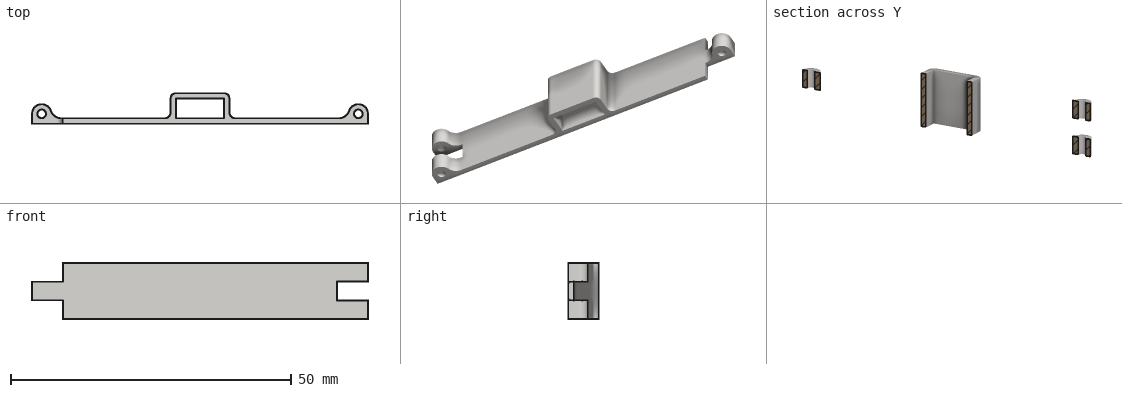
import cadquery as cq
import math

length = 60.0
height = 10.0
thickness = 1.0

knuckle_radius = 1.75
knuckle_center_y = 1.8
blend_radius = 2.0
pin_diameter = 1.5
hinge_depth = 5.5
tongue_height = height / 3

loop_depth = 5.5
opening_width = 8.5
loop_width = opening_width + 2 * thickness
loop_radius = 1.0


def knuckle(end_x, inward):
    """Full-height knuckle at end_x, blended into the plate; inward is the X sign toward mid-plate."""
    center_x = knuckle_radius
    blend_y = thickness + blend_radius
    rise = blend_y - knuckle_center_y
    reach = math.sqrt((knuckle_radius + blend_radius) ** 2 - rise**2)
    blend_x = center_x + reach
    touch_angle = math.atan2(rise, reach)
    top_angle = (math.pi + touch_angle) / 2
    blend_angle = (math.pi + touch_angle + 1.5 * math.pi) / 2

    def place(x, y):
        return (end_x + inward * x, y)

    def on_circle(x, y, radius, angle):
        return place(x + radius * math.cos(angle), y + radius * math.sin(angle))

    return (
        cq.Workplane("XY")
        .moveTo(*place(0, 0))
        .lineTo(*place(0, knuckle_center_y))
        .threePointArc(
            on_circle(center_x, knuckle_center_y, knuckle_radius, top_angle),
            on_circle(center_x, knuckle_center_y, knuckle_radius, touch_angle),
        )
        .threePointArc(
            on_circle(blend_x, blend_y, blend_radius, blend_angle),
            place(blend_x, thickness),
        )
        .lineTo(*place(blend_x, 0))
        .close()
        .extrude(height)
    )


def hinge_block(start_x, bottom_z, block_height):
    """Block through the full depth of a hinge, used to trim it."""
    return cq.Workplane("XY").box(hinge_depth, loop_depth, block_height, centered=False).translate(
        (start_x, 0, bottom_z)
    )


def plate_with_loop():
    """Plate and loop with rounded outer corners and filleted roots."""
    plate = cq.Workplane("XY").box(length, thickness, height, centered=False)
    loop = cq.Workplane("XY").box(loop_width, loop_depth, height, centered=False).translate(
        ((length - loop_width) / 2, 0, 0)
    )
    body = plate.union(loop)
    loop_corners = cq.selectors.BoxSelector(
        (length / 2 - loop_width, thickness / 2, 0),
        (length / 2 + loop_width, 2 * loop_depth, height),
    )
    body = body.edges("|Z").edges(loop_corners).fillet(loop_radius)
    opening = cq.Workplane("XY").box(
        opening_width, loop_depth - 2 * thickness, height, centered=False
    ).translate(((length - opening_width) / 2, thickness, 0))
    return body.cut(opening)


def pin_hole(center_x):
    """Pin bore along the full height."""
    return cq.Workplane("XY").center(center_x, knuckle_center_y).circle(pin_diameter / 2).extrude(height)


part = plate_with_loop().union(knuckle(0, 1)).union(knuckle(length, -1))
part = part.cut(pin_hole(knuckle_radius)).cut(pin_hole(length - knuckle_radius))

tongue_bottom = (height - tongue_height) / 2
tongue_top = tongue_bottom + tongue_height
part = part.cut(hinge_block(0, 0, tongue_bottom))
part = part.cut(hinge_block(0, tongue_top, tongue_bottom))
result = part.cut(hinge_block(length - hinge_depth, tongue_bottom, tongue_height))